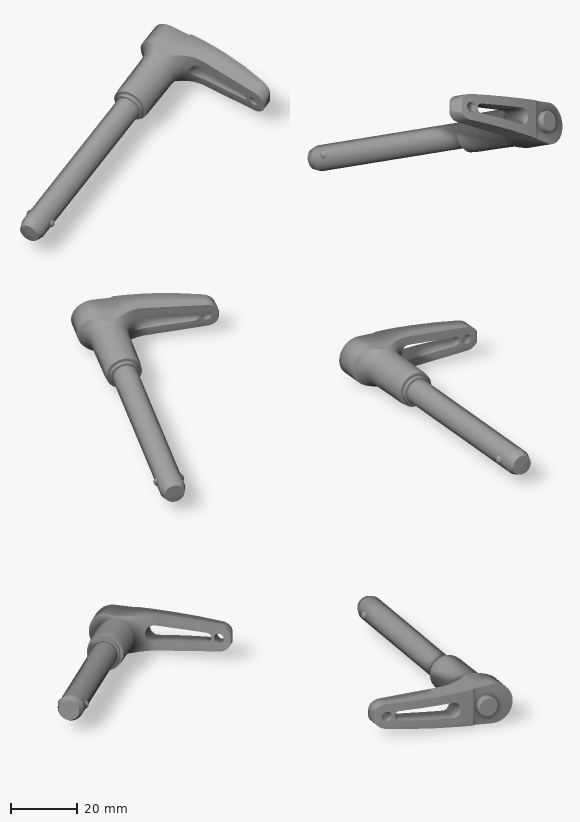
import cadquery as cq
import math

overall_length = 91.4
button_height = 2.2
button_radius = 3.2
button_edge = 0.3

head_width = 12.7
head_radius = head_width / 2
head_left = -9.0
head_center = head_left + head_radius
tip_radius = 4.0
tip_end = 35.3
tip_center = tip_end - tip_radius

arm_crown = 0.55
crown_start = 4.4
crown_end = 8.2
ramp_start = 3.4
crown_mid = (22.8, -1.1)
tip_top = (34.7, -4.3)
tip_bottom_y = -9.0
arm_root = (10.1, -6.5)
tip_edge = 0.6

slot_wide_center = 11.0
slot_wide_radius = 2.6
slot_narrow_center = 27.4
slot_narrow_radius = 1.6
eye_radius = 1.6

flare_radius = 12.8
flare_top_y = -6.8
flare_overlap = 2.7
sleeve_top_y = -12.6
sleeve_top_radius = 5.9
sleeve_break_y = -27.1
sleeve_break_radius = 5.8
sleeve_end_y = -29.2
sleeve_end_radius = 5.6
collar_end_y = -30.4
collar_radius = 4.7

pin_diameter = 8.0
pin_radius = pin_diameter / 2
pin_end_y = button_height - overall_length
pin_taper = 2.5
pin_end_radius = 3.1
ball_y = -82.3
ball_radius = 1.4
ball_reach = 4.8

through = 4 * head_radius


def tapered_prism(x_large, r_large, x_small, r_small):
    """Prism along Y whose outline is two rounds joined by their tangent lines."""
    cosine = (r_large - r_small) / (x_small - x_large)
    sine = math.sqrt(1 - cosine**2)
    large = (x_large + r_large * cosine, r_large * sine)
    small = (x_small + r_small * cosine, r_small * sine)
    return (
        cq.Workplane("XZ")
        .moveTo(*large)
        .lineTo(*small)
        .threePointArc((x_small + r_small, 0), (small[0], -small[1]))
        .lineTo(large[0], -large[1])
        .threePointArc((x_large - r_large, 0), large)
        .close()
        .extrude(through, both=True)
    )


def revolve_about_pin(profile):
    return profile.close().revolve(360, (0, 0, 0), (0, 1, 0))


def make_handle():
    profile = (
        cq.Workplane("XY")
        .moveTo(head_left, 0)
        .lineTo(ramp_start, 0)
        .lineTo(crown_start, arm_crown)
        .lineTo(crown_end, arm_crown)
        .threePointArc(crown_mid, tip_top)
        .lineTo(tip_end, tip_bottom_y)
        .lineTo(*arm_root)
        .lineTo(head_left, arm_root[1])
        .close()
        .extrude(head_radius, both=True)
    )
    tip_edges = cq.selectors.BoxSelector(
        (tip_top[0] - tip_edge, tip_bottom_y - tip_edge, -through),
        (tip_end + tip_edge, 0, through),
    )
    profile = profile.edges("|Z").edges(tip_edges).fillet(tip_edge)

    blend_width = flare_radius - sleeve_top_radius
    blend_height = flare_top_y - sleeve_top_y
    diagonal = math.sqrt(0.5)
    blend_mid = (
        flare_radius - blend_width * diagonal,
        sleeve_top_y + blend_height * diagonal,
    )
    flare = revolve_about_pin(
        cq.Workplane("XY")
        .moveTo(0, sleeve_top_y)
        .lineTo(sleeve_top_radius, sleeve_top_y)
        .threePointArc(blend_mid, (flare_radius, flare_top_y))
        .lineTo(flare_radius, flare_top_y + flare_overlap)
        .lineTo(0, flare_top_y + flare_overlap)
    )
    outline = tapered_prism(head_center, head_radius, tip_center, tip_radius)
    slot = tapered_prism(slot_wide_center, slot_wide_radius, slot_narrow_center, slot_narrow_radius)
    eye = (
        cq.Workplane("XZ")
        .center(tip_center, 0)
        .circle(eye_radius)
        .extrude(through, both=True)
    )
    arm = profile.intersect(outline)
    root = flare.intersect(outline)
    return arm.union(root).cut(slot).cut(eye)


def make_pin():
    """Button, sleeve, collar and tapered pin turned as one stepped body."""
    return revolve_about_pin(
        cq.Workplane("XY")
        .moveTo(0, button_height)
        .lineTo(button_radius - button_edge, button_height)
        .lineTo(button_radius, button_height - button_edge)
        .lineTo(button_radius, sleeve_top_y)
        .lineTo(sleeve_top_radius, sleeve_top_y)
        .lineTo(sleeve_break_radius, sleeve_break_y)
        .lineTo(sleeve_end_radius, sleeve_end_y)
        .lineTo(collar_radius, sleeve_end_y)
        .lineTo(collar_radius, collar_end_y)
        .lineTo(pin_radius, collar_end_y)
        .lineTo(pin_radius, pin_end_y + pin_taper)
        .lineTo(pin_end_radius, pin_end_y)
        .lineTo(0, pin_end_y)
    )


result = make_handle().union(make_pin())
for side in (-1, 1):
    ball_x = side * (ball_reach - ball_radius)
    ball = cq.Workplane("XY").sphere(ball_radius).translate((ball_x, ball_y, 0))
    result = result.union(ball)